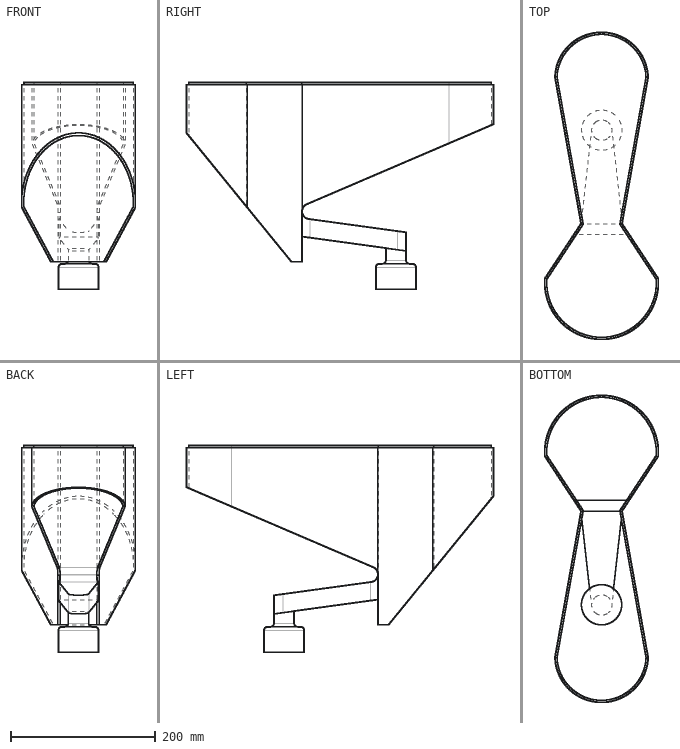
import cadquery as cq
import math

wall = 3.0
waist_half = 28.5
rear_y = 265.5
rear_corner_y = 203.0
rear_corner_half = 64.7
front_y = -160.5
front_corner_y = -76.2
front_radius = 79.0
front_center_y = front_y + front_radius
front_corner_half = math.sqrt(front_radius**2 - (front_corner_y - front_center_y) ** 2)

skin_top = -wall
rear_bottom = -58.0
waist_bottom = -171.5
front_bottom = -70.0
tip_bottom = -248.8
tip_front_y = -15.0
notch_radius = 10.2

post_radius = 14.0
post_y = 130.0
arm_end_y = post_y + post_radius
arm_slope = 0.137
arm_top_at_waist = -188.0
arm_bottom_at_waist = -214.0
arm_root_y = 12.5
arm_root_half = 27.3

foot_diameter = 56.0
foot_bottom = -286.5
foot_top = -251.5
foot_round = 5.0

half_span = 128.0


def outline_wire():
    """Dumbbell plan outline: two arcs joined by straight flanks that meet at the waist."""
    return (
        cq.Workplane("XY")
        .moveTo(waist_half, 0)
        .lineTo(rear_corner_half, rear_corner_y)
        .threePointArc((0, rear_y), (-rear_corner_half, rear_corner_y))
        .lineTo(-waist_half, 0)
        .lineTo(-front_corner_half, front_corner_y)
        .threePointArc((0, front_y), (front_corner_half, front_corner_y))
        .close()
    )


def outline_prism(inset, top):
    """Outline, moved inward by the inset, from the given top down to the tip level."""
    outline = outline_wire()
    if inset:
        outline = outline.offset2D(-inset, "intersection")
    return outline.extrude(tip_bottom - top).translate((0, 0, top))


def arm_height(level_at_waist, y):
    return level_at_waist - arm_slope * y


def side_profile():
    """Side silhouette of head and arm together, with the rounded notch between them."""
    profile = (
        cq.Workplane("YZ", origin=(-half_span, 0, 0))
        .polyline([
            (front_y, 0),
            (rear_y, 0),
            (rear_y, rear_bottom),
            (0, waist_bottom),
            (0, arm_top_at_waist),
            (arm_end_y, arm_height(arm_top_at_waist, arm_end_y)),
            (arm_end_y, arm_height(arm_bottom_at_waist, arm_end_y)),
            (0, arm_bottom_at_waist),
            (0, tip_bottom),
            (tip_front_y, tip_bottom),
            (front_y, front_bottom),
        ])
        .close()
        .extrude(2 * half_span)
    )
    notch_corners = cq.selectors.BoxSelector(
        (-half_span, -wall, arm_top_at_waist - wall), (half_span, wall, waist_bottom + wall)
    )
    return profile.edges(notch_corners).fillet(notch_radius)


def arm_plan():
    """Tapered plan of the arm: round end over the post, straight flanks tangent to it."""
    root_drop = arm_root_y - post_y
    reach = math.hypot(arm_root_half, root_drop)
    touch = math.atan2(root_drop, arm_root_half) + math.acos(post_radius / reach)
    touch_x = post_radius * math.cos(touch)
    touch_y = post_y + post_radius * math.sin(touch)
    waist_x = touch_x + touch_y * math.tan(touch)
    return (
        cq.Workplane("XY")
        .moveTo(waist_x, 0)
        .lineTo(touch_x, touch_y)
        .threePointArc((0, arm_end_y), (-touch_x, touch_y))
        .lineTo(-waist_x, 0)
        .close()
        .extrude(tip_bottom)
    )


def arm_zone():
    """Space behind the waist and below the middle of the notch, which holds only the arm."""
    notch_middle = (waist_bottom + arm_top_at_waist) / 2
    return cq.Workplane("XY").box(
        2 * half_span, rear_y, notch_middle - tip_bottom, centered=(True, False, False)
    ).translate((0, 0, tip_bottom))


def make_core(profile):
    """Solid core: the inset head and, in one piece with it, the tapered arm."""
    head = profile.cut(arm_zone())
    arm = profile.intersect(arm_zone()).intersect(arm_plan())
    return head.union(arm).intersect(outline_prism(wall, 0))


def make_skin(profile):
    """Thin skin around the sides of the head, open at the top and on the sloped undersides."""
    head = profile.cut(arm_zone())
    return head.intersect(outline_prism(0, skin_top)).cut(outline_prism(wall, 0))


def make_foot(profile):
    """Round foot and its post, turned about the post axis and trimmed by the arm's underside."""
    foot_radius = foot_diameter / 2
    post_top = arm_height((arm_top_at_waist + arm_bottom_at_waist) / 2, post_y)
    bend = foot_round * (1 - math.sqrt(0.5))
    blank = (
        cq.Workplane("XZ")
        .moveTo(0, foot_bottom)
        .lineTo(foot_radius, foot_bottom)
        .lineTo(foot_radius, foot_top - foot_round)
        .threePointArc((foot_radius - bend, foot_top - bend), (foot_radius - foot_round, foot_top))
        .lineTo(post_radius + foot_round, foot_top)
        .threePointArc((post_radius + bend, foot_top + bend), (post_radius, foot_top + foot_round))
        .lineTo(post_radius, post_top)
        .lineTo(0, post_top)
        .close()
        .revolve(360, (0, 0, 0), (0, 1, 0))
        .translate((0, post_y, 0))
    )
    return blank.cut(profile)


profile = side_profile()
core = make_core(profile)
skin = make_skin(profile)
foot = make_foot(profile)

result = cq.Compound.makeCompound([body.solids().val() for body in (core, skin, foot)])